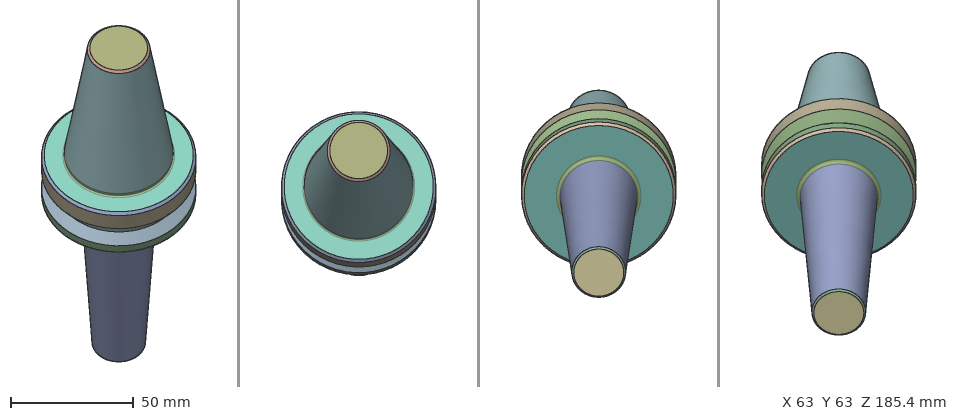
import cadquery as cq
import math

total_length = 185.4
flange_bottom_z = 92.9
flange_top_z = 118.1
gauge_z = 120.0

gauge_radius = 22.2
shank_taper = 7 / 24
shank_chamfer = 1.0
shank_fillet = 0.5
shank_top_radius = gauge_radius - (total_length - gauge_z) * shank_taper / 2

flange_radius = 31.5
flange_chamfer = 1.1
groove_radius = 26.5
groove_floor_bottom_z = 100.9
groove_floor_top_z = 105.9
groove_wall_angle = 30.0
groove_wall_height = (flange_radius - groove_radius) * math.tan(math.radians(groove_wall_angle))

nose_tip_radius = 11.0
nose_half_angle = 3.0
nose_tip_chamfer = 0.7
nose_fillet = 1.5
nose_root_radius = nose_tip_radius + flange_bottom_z * math.tan(math.radians(nose_half_angle))


def make_nose():
    """Tapered nose with a chamfered tip, standing on Z = 0."""
    nose = (
        cq.Workplane("XZ")
        .polyline([
            (0, 0),
            (nose_tip_radius, 0),
            (nose_root_radius, flange_bottom_z),
            (0, flange_bottom_z),
        ])
        .close()
        .revolve(360, (0, 0), (0, 1))
    )
    return nose.faces("<Z").chamfer(nose_tip_chamfer)


def make_flange():
    """Chamfered flange with the gripper groove around it."""
    rim_radius = flange_radius - flange_chamfer
    return (
        cq.Workplane("XZ")
        .polyline([
            (0, flange_bottom_z),
            (rim_radius, flange_bottom_z),
            (flange_radius, flange_bottom_z + flange_chamfer),
            (flange_radius, groove_floor_bottom_z - groove_wall_height),
            (groove_radius, groove_floor_bottom_z),
            (groove_radius, groove_floor_top_z),
            (flange_radius, groove_floor_top_z + groove_wall_height),
            (flange_radius, flange_top_z - flange_chamfer),
            (rim_radius, flange_top_z),
            (0, flange_top_z),
        ])
        .close()
        .revolve(360, (0, 0), (0, 1))
    )


def make_shank():
    """Short cylindrical collar below the gauge line and the taper above it."""
    shank = (
        cq.Workplane("XZ")
        .polyline([
            (0, flange_top_z),
            (gauge_radius, flange_top_z),
            (gauge_radius, gauge_z),
            (shank_top_radius, total_length),
            (0, total_length),
        ])
        .close()
        .revolve(360, (0, 0), (0, 1))
    )
    return shank.faces(">Z").chamfer(shank_chamfer)


def fillet_corner(solid, height, radius):
    """Fillet the inside corner where the shank or nose meets the flange at this height."""
    corner = cq.selectors.BoxSelector(
        (-groove_radius, -groove_radius, height - radius / 2),
        (groove_radius, groove_radius, height + radius / 2),
        boundingbox=True,
    )
    return solid.edges(corner).fillet(radius)


body = make_nose().union(make_flange()).union(make_shank())
body = fillet_corner(body, flange_bottom_z, nose_fillet)
result = fillet_corner(body, flange_top_z, shank_fillet)